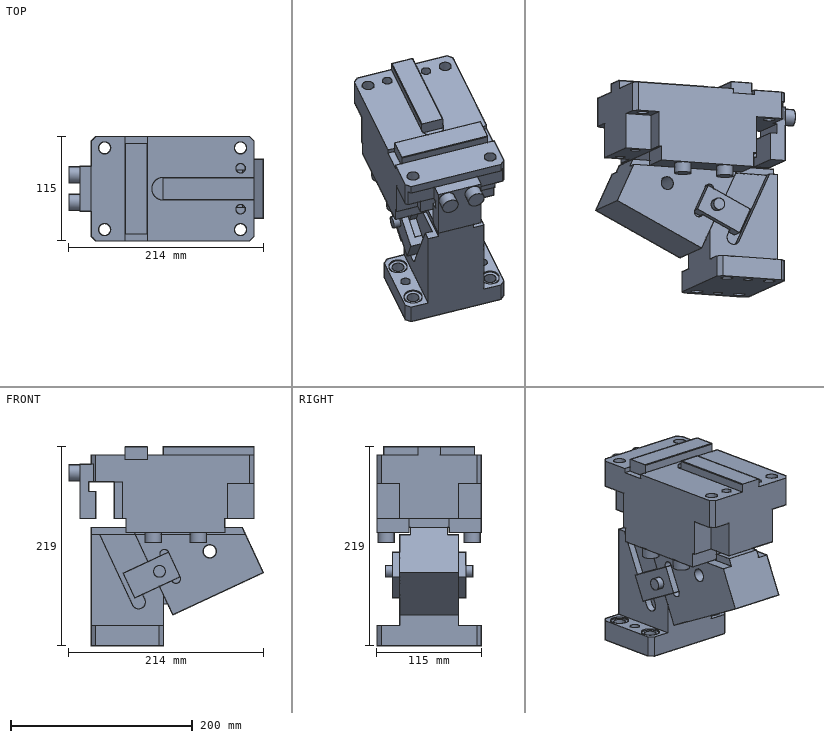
import cadquery as cq
import math

total_height = 219.0
overall_width = 115.0
column_width = 65.0
neck_width = 41.0
corner_chamfer = 5.0
bolt_diameter = 13.0
dowel_diameter = 10.3
screw_head_diameter = 18.2
bolt_inset = 15.0
bolt_y = 45.0
shoulder_z = 122.2
neck_top_z = 130.0

base_length = 79.7
flange_height = 22.5
counterbore_diameter = 20.0
counterbore_depth = 1.5
toe_bottom_z = 45.8
toe_length = 4.4
toe_height = 11.0

incline_angle = 25.0
slide_corner_x = 89.8
slide_corner_z = 34.0
slide_thickness = 110.0
slide_reach = 197.0
slide_hole_u = 66.4
slide_hole_v = 46.2
slide_hole_diameter = 14.2

recess_depth = 8.0
slot_left_u = -35.5
slot_width = 15.0
slot_end_v = 28.7
keeper_left_u = -30.0
keeper_right_u = 25.0
keeper_bottom_v = 34.5
keeper_height = 30.0
keeper_span = 80.5
relief_radius = 5.0
pin_u = 7.0
pin_diameter = 13.0
pin_span = 96.1

holder_length = 179.1
holder_bottom_z = 124.5
holder_step_z = 140.0
plate_left_bottom_z = 180.2
plate_right_bottom_z = 178.3
holder_top_z = 209.8
foot_left_x = 38.0
foot_right_x = 147.0
body_left_x = 34.5
body_right_x = 149.8
guide_left_x = 25.2
channel_width = 43.8
dowel_y = 22.5
foot_screw_xs = (68.0, 117.8)
foot_screw_y = 47.3
foot_screw_bottom_z = 113.5

key_width = 25.0
key_edge_chamfer = 0.7
key_slot_floor_z = 205.0
cross_key_x = 37.2
cross_key_length = 99.9
long_key_x = 79.3

bracket_seat_depth = 2.6
bracket_seat_top_z = 199.7
bracket_width = 50.0
bracket_left_x = -12.3
bracket_notch_x = -2.5
bracket_lip_x = 5.3
bracket_lip_top_z = 169.7
bracket_screw_left_x = -24.5
bracket_screw_y = 15.1
bracket_screw_z = 190.0

slope = math.radians(incline_angle)
incline = cq.Plane(
    origin=(slide_corner_x, 0, slide_corner_z),
    xDir=(math.cos(slope), 0, math.sin(slope)),
    normal=(0, -1, 0),
)


def block(x0, x1, width, z0, z1):
    """Box from x0 to x1 and z0 to z1, centred on Y = 0."""
    return cq.Workplane("XY").box(x1 - x0, width, z1 - z0, centered=(False, True, False)).translate((x0, 0, z0))


def incline_slab(u0, u1, v0, v1, width):
    """Box in the inclined u-v frame, centred on Y = 0."""
    return (
        cq.Workplane(incline)
        .center((u0 + u1) / 2, (v0 + v1) / 2)
        .rect(u1 - u0, v1 - v0)
        .extrude(width / 2, both=True)
    )


def incline_rod(u, v, diameter, width):
    """Cylinder along Y at a point of the inclined frame, centred on Y = 0."""
    return cq.Workplane(incline).center(u, v).circle(diameter / 2).extrude(width / 2, both=True)


def vertical_rods(points, diameter, z0, z1):
    return cq.Workplane("XY").workplane(offset=z0).pushPoints(points).circle(diameter / 2).extrude(z1 - z0)


def mirrored_points(xs, y):
    return [(x, side * y) for x in xs for side in (-1, 1)]


recess_floor_width = column_width - 2 * recess_depth
keeper_top_v = keeper_bottom_v + keeper_height
slot_right_u = slot_left_u + slot_width


def both_sides_only(shape):
    """Keep the parts of a shape outside the recess floors, leaving one piece at each Y side."""
    core = block(-holder_length, 2 * holder_length, recess_floor_width, -total_height, 2 * total_height)
    return shape.cut(core)


def make_base():
    flange = block(0, base_length, overall_width, 0, flange_height).edges("|Z").chamfer(corner_chamfer)
    column = block(0, base_length, column_width, 0, shoulder_z)
    neck = block(0, base_length, neck_width, 0, neck_top_z)
    toe = block(base_length, base_length + toe_length, neck_width, toe_bottom_z, toe_bottom_z + toe_height)
    base = flange.union(column).union(neck).union(toe)

    bolts = mirrored_points((bolt_inset, base_length - bolt_inset), bolt_y)
    dowels = mirrored_points((base_length / 2,), bolt_y)
    base = base.cut(vertical_rods(bolts, bolt_diameter, 0, flange_height))
    base = base.cut(vertical_rods(bolts, counterbore_diameter, flange_height - counterbore_depth, flange_height))
    base = base.cut(vertical_rods(dowels, dowel_diameter, 0, flange_height))

    base = base.cut(incline_slab(0, slide_thickness, -slide_reach, slide_reach, overall_width))

    slot = incline_slab(slot_left_u, slot_right_u, slot_end_v, slide_reach, column_width)
    slot_end = incline_rod((slot_left_u + slot_right_u) / 2, slot_end_v, slot_width, column_width)
    widening = incline_slab(slot_left_u, 0, keeper_top_v, slide_reach, column_width)
    return base.cut(both_sides_only(slot.union(slot_end).union(widening)))


def make_slide():
    right_x = slide_corner_x + slide_thickness * math.cos(slope)
    envelope = block(0, right_x, column_width, 0, shoulder_z)
    envelope = envelope.union(block(0, right_x, neck_width, 0, neck_top_z))
    envelope = envelope.union(block(0, foot_right_x, channel_width, neck_top_z, holder_step_z))
    slide = incline_slab(0, slide_thickness, 0, slide_reach, column_width).intersect(envelope)
    slide = slide.cut(incline_rod(slide_hole_u, slide_hole_v, slide_hole_diameter, column_width))

    for v in (keeper_bottom_v, keeper_top_v):
        relief = incline_rod(keeper_right_u - relief_radius, v, 2 * relief_radius, column_width)
        slide = slide.cut(both_sides_only(relief))

    keepers = incline_slab(keeper_left_u, keeper_right_u, keeper_bottom_v, keeper_top_v, keeper_span)
    bridged = incline_slab(slot_right_u, 0, keeper_bottom_v, keeper_top_v, column_width)
    slide = slide.union(both_sides_only(keepers.cut(bridged)))

    pin = incline_rod(pin_u, (keeper_bottom_v + keeper_top_v) / 2, pin_diameter, pin_span)
    return slide.union(both_sides_only(pin))


def make_bracket():
    bracket = (
        cq.Workplane("XZ")
        .moveTo(bracket_left_x, holder_step_z)
        .lineTo(bracket_lip_x, holder_step_z)
        .lineTo(bracket_lip_x, bracket_lip_top_z)
        .lineTo(bracket_notch_x, bracket_lip_top_z)
        .lineTo(bracket_notch_x, plate_left_bottom_z)
        .lineTo(bracket_seat_depth, plate_left_bottom_z)
        .lineTo(bracket_seat_depth, bracket_seat_top_z)
        .lineTo(bracket_left_x, bracket_seat_top_z)
        .close()
        .extrude(bracket_width / 2, both=True)
    )
    screws = (
        cq.Workplane("YZ")
        .workplane(offset=bracket_screw_left_x)
        .pushPoints([(-bracket_screw_y, bracket_screw_z), (bracket_screw_y, bracket_screw_z)])
        .circle(screw_head_diameter / 2)
        .extrude(bracket_left_x - bracket_screw_left_x)
    )
    return bracket.union(screws)


def key_block(x0, x1, width):
    """Bar standing on the slot floor, used for both a key and its slot."""
    return block(x0, x1, width, key_slot_floor_z, total_height)


def make_holder():
    plate = block(0, holder_length, overall_width, plate_left_bottom_z, holder_top_z)
    plate = plate.union(
        block(body_right_x, holder_length, overall_width, plate_right_bottom_z, plate_left_bottom_z)
    )
    plate = plate.edges("|Z and (<X or >X)").chamfer(corner_chamfer)
    body = block(body_left_x, body_right_x, overall_width, holder_step_z, holder_top_z)
    foot = block(foot_left_x, foot_right_x, overall_width, holder_bottom_z, holder_step_z)
    guide = block(guide_left_x, holder_length, column_width, holder_step_z, holder_top_z)
    foot = foot.cut(block(foot_left_x, foot_right_x, channel_width, holder_bottom_z, holder_step_z))

    holder = plate.union(body).union(foot).union(guide)

    right_hole_x = holder_length - bolt_inset
    bolts = mirrored_points((bolt_inset, right_hole_x), bolt_y)
    dowels = mirrored_points((right_hole_x,), dowel_y)
    holder = holder.cut(vertical_rods(bolts, bolt_diameter, holder_step_z, holder_top_z))
    holder = holder.cut(vertical_rods(dowels, dowel_diameter, holder_step_z, holder_top_z))

    cross_key_end = cross_key_x + key_width
    holder = holder.cut(key_block(cross_key_x, cross_key_end, overall_width))
    holder = holder.cut(key_block(long_key_x, holder_length, key_width))
    holder = holder.cut(vertical_rods([(long_key_x, 0)], key_width, key_slot_floor_z, holder_top_z))
    cross_key = key_block(cross_key_x, cross_key_end, cross_key_length)
    long_key = key_block(long_key_x, holder_length, key_width)
    holder = holder.union(cross_key.faces(">Z").edges("|Y").chamfer(key_edge_chamfer))
    holder = holder.union(long_key.faces(">Z").edges("|X").chamfer(key_edge_chamfer))

    holder = holder.cut(
        block(0, bracket_seat_depth, overall_width, plate_left_bottom_z, bracket_seat_top_z)
    )
    foot_screws = vertical_rods(
        mirrored_points(foot_screw_xs, foot_screw_y), screw_head_diameter, foot_screw_bottom_z, holder_bottom_z
    )
    return holder.union(make_bracket()).union(foot_screws)


base = make_base().solids()
slide = make_slide().solids()
holder = make_holder().solids()

result = cq.Compound.makeCompound([base.val(), slide.val(), holder.val()])